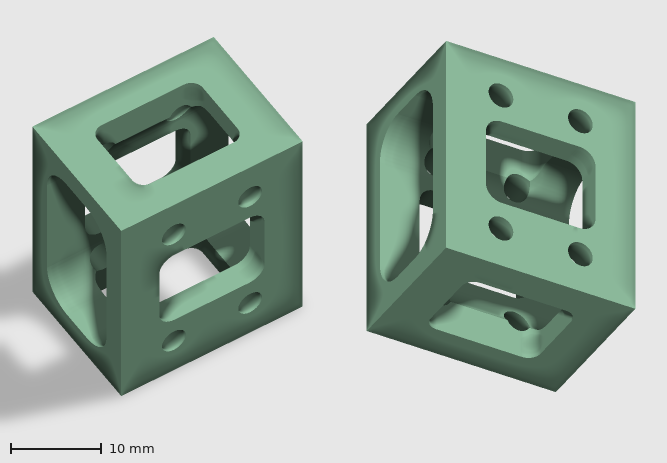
import cadquery as cq

WIDTH_X = 18.0
DEPTH_Y = 23.8
HEIGHT_Z = 28.0

SIDE_WALL = 3.0
END_FRAME_X = 4.0
FRAME_Y = 5.0
FRAME_Z = 8.5

RADIUS_ALONG_Y = 4.0
RADIUS_ALONG_Z = 1.5
RADIUS_ALONG_X = 2.0

HOLE_DIAMETER = 3.1
HOLE_PITCH_Y = 10.0
HOLE_PITCH_Z = 18.0


def window_along_x():
    """Rounded rectangular opening through both X faces."""
    opening = cq.Workplane("XY").box(WIDTH_X, DEPTH_Y - 2 * FRAME_Y, HEIGHT_Z - 2 * FRAME_Z)
    return opening.edges("|X").fillet(RADIUS_ALONG_X)


def window_along_y():
    """Large rounded opening through both Y faces; it hollows the block."""
    opening = cq.Workplane("XY").box(WIDTH_X - 2 * SIDE_WALL, DEPTH_Y, HEIGHT_Z - 2 * SIDE_WALL)
    return opening.edges("|Y").fillet(RADIUS_ALONG_Y)


def window_along_z():
    """Rounded rectangular opening through the top and bottom faces."""
    opening = cq.Workplane("XY").box(WIDTH_X - 2 * END_FRAME_X, DEPTH_Y - 2 * FRAME_Y, HEIGHT_Z)
    return opening.edges("|Z").fillet(RADIUS_ALONG_Z)


def screw_holes():
    """Four holes through both X walls, on a rectangular pattern."""
    return (
        cq.Workplane("YZ")
        .rarray(HOLE_PITCH_Y, HOLE_PITCH_Z, 2, 2)
        .circle(HOLE_DIAMETER / 2)
        .extrude(WIDTH_X / 2, both=True)
    )


result = cq.Workplane("XY").box(WIDTH_X, DEPTH_Y, HEIGHT_Z)
for cutter in (window_along_x(), window_along_y(), window_along_z(), screw_holes()):
    result = result.cut(cutter)